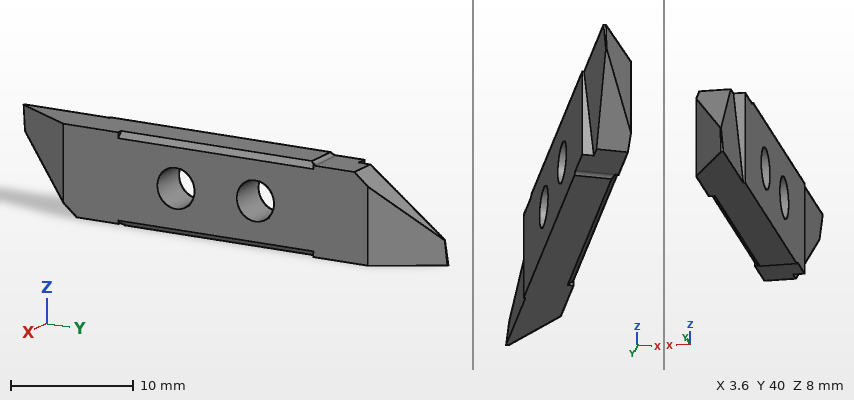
import cadquery as cq
import math

thickness = 3.6
length = 40.0
height = 8.0

land_drop = 0.2
land_start = 9.3
land_radius = 0.7
clearance_start = 13.1
clearance_angle = 40.0
tip_relief_angle = 5.0

flank_start = 12.0
flank_depth = 0.15
flank_angle = 6.0

bevel_angle = 30.0
tip_width = 0.2

chamfer_half_length = 9.2
chamfer_size = 0.5

hole_diameter = 3.5
hole_offset = 3.75

half_thickness = thickness / 2
half_length = length / 2
half_height = height / 2
land_z = half_height - land_drop


def tan_deg(angle):
    return math.tan(math.radians(angle))


def half_turn(shape):
    """Turn a shape half a turn about X, which carries one end onto the other."""
    return shape.rotate((0, 0, 0), (1, 0, 0), 180)


def extrude_along_x(outline):
    """Extrude a closed YZ outline through the full thickness."""
    return outline.extrude(thickness)


def blade_body():
    """Plate whose YZ outline is the same after half a turn about X."""
    runout = math.sqrt(land_radius**2 - (land_radius - land_drop) ** 2)
    arc_turn = math.asin(runout / land_radius)
    arc_mid_y = land_start - land_radius * math.sin(arc_turn / 2)
    arc_mid_z = land_z + land_radius * (1 - math.cos(arc_turn / 2))

    slope = tan_deg(clearance_angle)
    lean = tan_deg(tip_relief_angle)
    slope_top_z = land_z + slope * clearance_start
    heel_y = (half_length - lean * (half_height + slope_top_z)) / (1 - lean * slope)
    heel_z = land_z - slope * (heel_y - clearance_start)

    outline = (
        cq.Workplane("YZ", origin=(-half_thickness, 0, 0))
        .moveTo(-half_length, half_height)
        .lineTo(land_start - runout, half_height)
        .threePointArc((arc_mid_y, arc_mid_z), (land_start, land_z))
        .lineTo(clearance_start, land_z)
        .lineTo(heel_y, heel_z)
        .lineTo(half_length, -half_height)
        .lineTo(runout - land_start, -half_height)
        .threePointArc((-arc_mid_y, -arc_mid_z), (-land_start, -land_z))
        .lineTo(-clearance_start, -land_z)
        .lineTo(-heel_y, -heel_z)
        .close()
    )
    return extrude_along_x(outline)


def flank_relief():
    """Wedge removed from the -X face at the -Y end, deepening downwards."""
    deep_end = flank_depth + height * tan_deg(flank_angle)
    return (
        cq.Workplane("XZ", origin=(0, -flank_start, 0))
        .moveTo(-half_thickness, half_height)
        .lineTo(-half_thickness + flank_depth, half_height)
        .lineTo(-half_thickness + deep_end, -half_height)
        .lineTo(-half_thickness, -half_height)
        .close()
        .extrude(half_length - flank_start)
    )


def end_bevel():
    """Triangular prism removed from the +X side at the -Y end."""
    tip_x = -half_thickness + flank_depth + tip_width
    bevel_length = (half_thickness - tip_x) / tan_deg(bevel_angle)
    return (
        cq.Workplane("XY", origin=(0, 0, -half_height))
        .moveTo(tip_x, -half_length)
        .lineTo(half_thickness, -half_length + bevel_length)
        .lineTo(half_thickness, -half_length)
        .close()
        .extrude(height)
    )


def edge_chamfer():
    """Prism removed along the middle of the upper +X edge."""
    return (
        cq.Workplane("XZ", origin=(0, chamfer_half_length, 0))
        .moveTo(half_thickness, half_height - chamfer_size)
        .lineTo(half_thickness - chamfer_size, half_height)
        .lineTo(half_thickness, half_height)
        .close()
        .extrude(2 * chamfer_half_length)
    )


def mounting_holes():
    """Pair of cylinders through the thickness, one each side of the centre."""
    outline = (
        cq.Workplane("YZ", origin=(-half_thickness, 0, 0))
        .pushPoints([(-hole_offset, 0), (hole_offset, 0)])
        .circle(hole_diameter / 2)
    )
    return extrude_along_x(outline)


result = blade_body().cut(mounting_holes())
for cutter in (flank_relief(), end_bevel(), edge_chamfer()):
    result = result.cut(cutter).cut(half_turn(cutter))